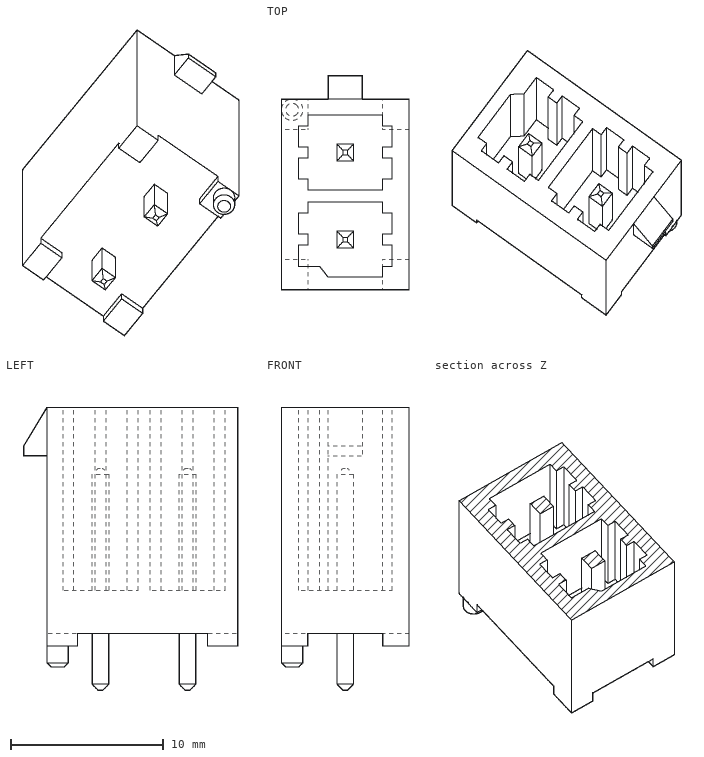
import cadquery as cq

body_width = 8.35
body_length = 12.5
body_height = 15.63

foot_width = 1.73
foot_length = 2.0
foot_height = 0.82

contact_pitch = 5.7
contact_offset = -0.1
contact_positions = [contact_offset + side * contact_pitch / 2 for side in (1, -1)]
cavity_size = 4.9
cavity_depth = 12.0
groove_width = 1.4
groove_depth = 0.6
groove_spacing = 2.1

key_width = 0.77
key_slope_run = 0.55
key_length = (cavity_size - groove_spacing - groove_width) / 2

pin_size = 1.1
pin_taper = 0.4
pin_tip_below_rim = 4.0
pin_protrusion = 2.9

tab_width = 2.25
tab_reach = 1.53
tab_height = 3.18
tab_lip = 0.65

peg_diameter = 1.4
peg_length = 1.38
peg_chamfer = 0.28


def make_body():
    """Block with two crossing channels that leave a foot at each corner."""
    body = cq.Workplane("XY").box(body_width, body_length, body_height, centered=(True, True, False))
    channel_x = body_width - 2 * foot_width
    channel_y = body_length - 2 * foot_length
    for size_x, size_y in ((channel_x, body_length), (body_width, channel_y)):
        channel = cq.Workplane("XY").box(size_x, size_y, foot_height, centered=(True, True, False))
        body = body.cut(channel)
    return body


def make_cavity(y):
    """Square pocket with two vertical grooves in each side wall."""
    floor = cq.Workplane("XY", origin=(0, y, body_height - cavity_depth))
    cavity = floor.rect(cavity_size, cavity_size).extrude(cavity_depth)
    for side in (1, -1):
        groove_y = side * groove_spacing / 2
        grooves = (
            floor.center(0, groove_y)
            .rect(cavity_size + 2 * groove_depth, groove_width)
            .extrude(cavity_depth)
        )
        cavity = cavity.union(grooves)
    return cavity


def make_key(y):
    """Full-depth corner fill with a sloping end."""
    corner = cq.Workplane("XY", origin=(-cavity_size / 2, y - cavity_size / 2, body_height - cavity_depth))
    return (
        corner.polyline([
            (0, 0),
            (key_width + key_slope_run, 0),
            (key_width, key_length),
            (0, key_length),
        ])
        .close()
        .extrude(cavity_depth)
    )


def make_pin(y):
    """Square pin running through the cavity floor."""
    pin_length = body_height - pin_tip_below_rim + pin_protrusion
    return (
        cq.Workplane("XY", origin=(0, y, -pin_protrusion))
        .rect(pin_size, pin_size)
        .extrude(pin_length)
        .faces("<Z or >Z")
        .chamfer(pin_taper)
    )


def make_tab():
    """Wedge whose slope starts at the top rear edge of the body."""
    tab_bottom = body_height - tab_height
    rear = body_length / 2
    return (
        cq.Workplane("YZ")
        .polyline([
            (rear, body_height),
            (rear + tab_reach, tab_bottom + tab_lip),
            (rear + tab_reach, tab_bottom),
            (rear, tab_bottom),
        ])
        .close()
        .extrude(tab_width / 2, both=True)
    )


def make_peg():
    """Round peg tangent to the -X and +Y faces, chamfered at its free end."""
    peg_radius = peg_diameter / 2
    peg_x = peg_radius - body_width / 2
    peg_y = body_length / 2 - peg_radius
    return (
        cq.Workplane("XY", origin=(peg_x, peg_y, -peg_length))
        .circle(peg_radius)
        .extrude(peg_length)
        .faces("<Z")
        .chamfer(peg_chamfer)
    )


result = make_body()
for contact_y in contact_positions:
    result = result.cut(make_cavity(contact_y))
result = result.union(make_key(min(contact_positions)))
for contact_y in contact_positions:
    result = result.union(make_pin(contact_y))
result = result.union(make_tab()).union(make_peg())